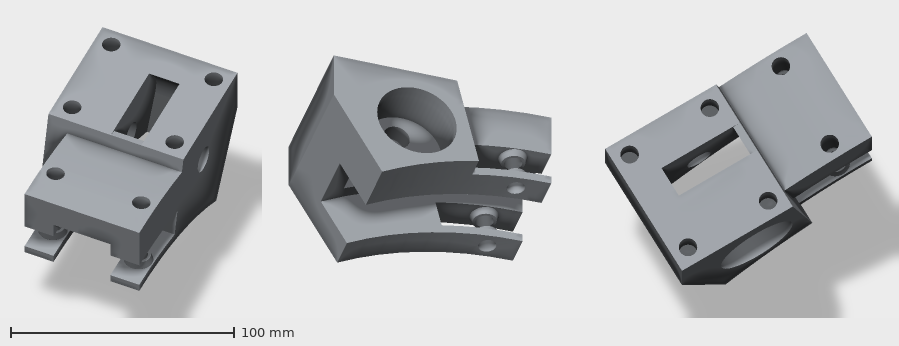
import cadquery as cq
import math


BLOCK_WIDTH = 66.6
TOTAL_LENGTH = 105.5
TOTAL_HEIGHT = 62.26

TRACK_RADIUS = 165.4
PLATE_THICKNESS = 4.0
CLAMP_GAP = 13.0
ARM_THICKNESS = 21.5
CHANNEL_CEILING = 24.5
PLATE_TOP_RADIUS = TRACK_RADIUS + PLATE_THICKNESS
ARM_BOTTOM_RADIUS = PLATE_TOP_RADIUS + CLAMP_GAP
ARM_TOP_RADIUS = ARM_BOTTOM_RADIUS + ARM_THICKNESS
CHANNEL_RADIUS = TRACK_RADIUS + CHANNEL_CEILING

FRONT_ANGLE = 13.0
REAR_ANGLE = 30.0
CENTRE_Z = -TOTAL_HEIGHT - TRACK_RADIUS * math.cos(math.radians(REAR_ANGLE))
CENTRE_DEPTH = -CENTRE_Z

ARM_WIDTH = 56.6
ARM_ROOT_ANGLE = 1.0
CHANNEL_WIDTH = 28.0
ARM_START_X = BLOCK_WIDTH - ARM_WIDTH
ARM_CENTRE_X = ARM_START_X + ARM_WIDTH / 2
LEG_WIDTH = (ARM_WIDTH - CHANNEL_WIDTH) / 2
LEG_SPACING = CHANNEL_WIDTH + LEG_WIDTH

SCREW_DIAMETER = 8.3
TOP_HOLE_DEPTH = 10.0
TOP_HOLE_SPACING_X = 50.6
TOP_HOLE_SPACING_Y = 42.0
TOP_HOLE_CENTRE_Y = 76.5
ARM_HOLE_ANGLE = 5.0
SEAT_HEIGHT = 3.0
SEAT_BASE_DIAMETER = 13.3
SEAT_TIP_DIAMETER = 11.0
SEAT_ROOT = 0.5

PIVOT_ANGLE = 20.5
BORE_DIAMETER = 37.4
BORE_DEPTH = 22.0
BORE_RADIUS_FROM_CENTRE = 189.5
PIN_DIAMETER = 12.3
PIN_RADIUS_FROM_CENTRE = 196.8

SLOT_WIDTH = 15.0
SLOT_CENTRE_X = ARM_CENTRE_X
SLOT_HALF_ANGLE = 6.5
SLOT_FRONT_ANGLE = PIVOT_ANGLE - SLOT_HALF_ANGLE
SLOT_REAR_ANGLE = PIVOT_ANGLE + SLOT_HALF_ANGLE
SLOT_ROUND_RADIUS = 22.3 / 2
SLOT_REAR_WALL_END = 209.3
SLOT_ROUND_SWEEP = 64.0

CUT_MARGIN = 5.0


def polar(radius, angle):
    """Point (y, z) at a radius and angle about the curve centre."""
    a = math.radians(angle)
    return (radius * math.sin(a), CENTRE_Z + radius * math.cos(a))


def side_profile(start_x, start_point):
    """Sketch in the YZ plane at a given X, ready to draw from its first point."""
    return cq.Workplane("YZ", origin=(start_x, 0, 0)).moveTo(*start_point)


def curved_bar(start_x, width, inner_radius, outer_radius, end_angle):
    """Bar along the track from the free end (Y = 0) to a radial end."""
    half = end_angle / 2
    return (
        side_profile(start_x, polar(inner_radius, 0))
        .threePointArc(polar(inner_radius, half), polar(inner_radius, end_angle))
        .lineTo(*polar(outer_radius, end_angle))
        .threePointArc(polar(outer_radius, half), polar(outer_radius, 0))
        .close()
        .extrude(width)
    )


def make_block():
    front_top = (CENTRE_DEPTH * math.tan(math.radians(FRONT_ANGLE)), 0)
    rear_low_z = CENTRE_Z + TOTAL_LENGTH / math.tan(math.radians(REAR_ANGLE))
    middle_angle = (FRONT_ANGLE + REAR_ANGLE) / 2
    return (
        side_profile(0, front_top)
        .lineTo(TOTAL_LENGTH, 0)
        .lineTo(TOTAL_LENGTH, rear_low_z)
        .lineTo(*polar(TRACK_RADIUS, REAR_ANGLE))
        .threePointArc(polar(TRACK_RADIUS, middle_angle), polar(TRACK_RADIUS, FRONT_ANGLE))
        .close()
        .extrude(BLOCK_WIDTH)
    )


def make_arm():
    """Thick upper arm and thin lower plate, each rooted a little inside the block."""
    root_angle = FRONT_ANGLE + ARM_ROOT_ANGLE
    upper = curved_bar(ARM_START_X, ARM_WIDTH, ARM_BOTTOM_RADIUS, ARM_TOP_RADIUS, root_angle)
    lower = curved_bar(ARM_START_X, ARM_WIDTH, TRACK_RADIUS, PLATE_TOP_RADIUS, root_angle)
    return upper.union(lower)


def make_channel():
    """Full-length clearance under the ceiling radius, between the two legs."""
    channel_start_x = ARM_CENTRE_X - CHANNEL_WIDTH / 2
    return (
        cq.Workplane("YZ", origin=(channel_start_x, 0, 0))
        .center(0, CENTRE_Z)
        .circle(CHANNEL_RADIUS)
        .extrude(CHANNEL_WIDTH)
    )


def radial_plane(x, radius):
    """Plane across the arm-hole axis, with its normal pointing outward."""
    y, z = polar(radius, ARM_HOLE_ANGLE)
    a = math.radians(ARM_HOLE_ANGLE)
    return cq.Plane(origin=(x, y, z), xDir=(1, 0, 0), normal=(0, math.sin(a), math.cos(a)))


def spring_seat(x, base_radius, outward):
    """Conical seat on a curved face, with a short straight root inside the face."""
    plane = cq.Workplane(radial_plane(x, base_radius))
    cone = (
        plane.circle(SEAT_BASE_DIAMETER / 2)
        .workplane(offset=outward * SEAT_HEIGHT)
        .circle(SEAT_TIP_DIAMETER / 2)
        .loft(ruled=True)
    )
    root = plane.circle(SEAT_BASE_DIAMETER / 2).extrude(-outward * SEAT_ROOT)
    return cone.union(root)


def arm_hole(x):
    start_radius = TRACK_RADIUS - CUT_MARGIN
    length = ARM_TOP_RADIUS + CUT_MARGIN - start_radius
    return cq.Workplane(radial_plane(x, start_radius)).circle(SCREW_DIAMETER / 2).extrude(length)


def make_top_holes():
    return (
        cq.Workplane("XY", origin=(BLOCK_WIDTH / 2, TOP_HOLE_CENTRE_Y, 0))
        .rarray(TOP_HOLE_SPACING_X, TOP_HOLE_SPACING_Y, 2, 2)
        .circle(SCREW_DIAMETER / 2)
        .extrude(-TOP_HOLE_DEPTH)
    )


def cross_hole(radius_from_centre, diameter, depth):
    """Hole along +X from the X = 0 side, on the pivot line."""
    return side_profile(0, polar(radius_from_centre, PIVOT_ANGLE)).circle(diameter / 2).extrude(depth)


def make_slot():
    """Lever slot: radial end walls, a front shelf and a rounded, overhanging rear end."""
    shelf_radius = CENTRE_DEPTH / math.cos(math.radians(FRONT_ANGLE))
    shelf_middle_angle = (FRONT_ANGLE + SLOT_FRONT_ANGLE) / 2
    opening_radius = CHANNEL_RADIUS - CUT_MARGIN

    wall_end_y, wall_end_z = polar(SLOT_REAR_WALL_END, SLOT_REAR_ANGLE)
    wall_tilt = math.radians(SLOT_REAR_ANGLE)
    round_centre_y = wall_end_y - SLOT_ROUND_RADIUS * math.cos(wall_tilt)
    round_centre_z = wall_end_z + SLOT_ROUND_RADIUS * math.sin(wall_tilt)

    def point_on_round(sweep):
        a = math.radians(sweep - SLOT_REAR_ANGLE)
        y = round_centre_y + SLOT_ROUND_RADIUS * math.cos(a)
        z = round_centre_z + SLOT_ROUND_RADIUS * math.sin(a)
        return (y, z)

    roof_start_y, roof_start_z = point_on_round(SLOT_ROUND_SWEEP)
    roof_tilt = math.radians(SLOT_ROUND_SWEEP - SLOT_REAR_ANGLE)
    roof_top_y = roof_start_y + roof_start_z * math.tan(roof_tilt)

    return (
        side_profile(SLOT_CENTRE_X - SLOT_WIDTH / 2, polar(shelf_radius, FRONT_ANGLE))
        .threePointArc(polar(shelf_radius, shelf_middle_angle), polar(shelf_radius, SLOT_FRONT_ANGLE))
        .lineTo(*polar(opening_radius, SLOT_FRONT_ANGLE))
        .lineTo(*polar(opening_radius, SLOT_REAR_ANGLE))
        .lineTo(wall_end_y, wall_end_z)
        .threePointArc(point_on_round(SLOT_ROUND_SWEEP / 2), (roof_start_y, roof_start_z))
        .lineTo(roof_top_y, 0)
        .close()
        .extrude(SLOT_WIDTH)
    )


result = make_block().union(make_arm()).cut(make_channel())

for side in (-1, 1):
    hole_x = ARM_CENTRE_X + side * LEG_SPACING / 2
    result = result.union(spring_seat(hole_x, ARM_BOTTOM_RADIUS, -1))
    result = result.union(spring_seat(hole_x, PLATE_TOP_RADIUS, 1))
    result = result.cut(arm_hole(hole_x))

result = (
    result.cut(make_top_holes())
    .cut(cross_hole(BORE_RADIUS_FROM_CENTRE, BORE_DIAMETER, BORE_DEPTH))
    .cut(cross_hole(PIN_RADIUS_FROM_CENTRE, PIN_DIAMETER, BLOCK_WIDTH))
    .cut(make_slot())
)